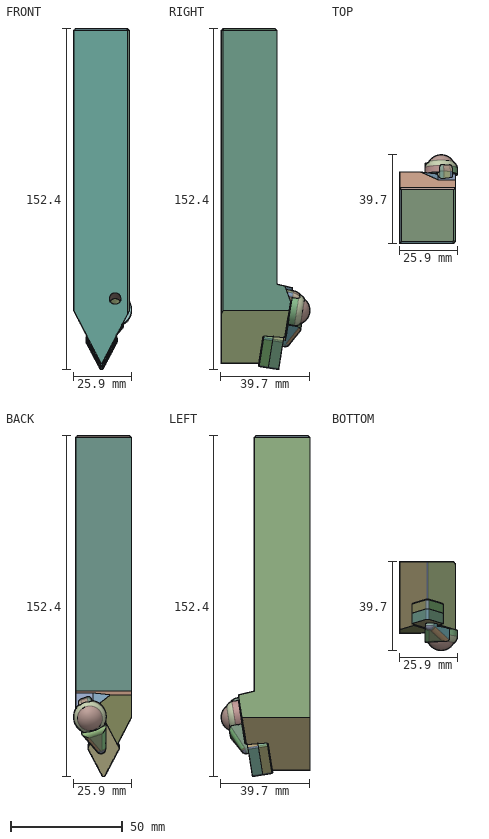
import cadquery as cq
import math

shank_side = 25.0
holder_height = 150.0
end_chamfer = 0.9
edge_chamfer = 0.9

point_angle = 55.0
tip_x = shank_side / 2
tip_round = 0.3
face_tilt = 9.0
head_depth = 32.0
head_corner_z = 34.1
head_step_z = 35.8

inscribed_diameter = 12.6
corner_radius = 0.84
insert_thickness = 4.7
shim_thickness = 4.5
shim_bevel = 0.5
insert_sink = 0.5
insert_center_z = 10.0

screw_x = 18.6
screw_z = 24.5
screw_radius = 3.8
screw_hole_diameter = 5.0
screw_hole_depth = 16.0
drill_point_angle = 118.0
dome_radius = 6.4
dome_center_height = 2.9

clamp_turn = 18.5
boss_radius = 7.3
heel_length = 8.4
heel_width = 6.1
heel_corner_radius = 1.5
heel_drop = 3.8
nose_reach = 15.5
nose_radius = 2.1
nose_top = 1.8
nose_pad_start = 13.7
arm_rise = 0.48
arm_root = 5.5
arm_edge_round = 2.0
boss_wall = 3.4
boss_top = 6.2
boss_top_radius = 5.2
shoulder_bulge = 0.3
heel_top = 5.2
heel_round = 4.5
clamp_gap = 0.5

recess_start_x = 8.0
recess_floor_x = 17.2
recess_floor_y = 28.2
recess_slope = 20.0
recess_length = 12.2
recess_clearance = 3.8

tilt = math.radians(face_tilt)
face_normal = cq.Vector(0, math.cos(tilt), -math.sin(tilt))


def head_face_y(z):
    """Y of the tilted head face at height Z."""
    return head_depth - (head_corner_z - z) * math.tan(tilt)


def face_plane(x, z):
    """Plane on the head face; local X is global X and local Y runs down to the tip."""
    return cq.Plane(origin=(x, head_face_y(z), z), xDir=(1, 0, 0), normal=face_normal)


insert_face = face_plane(tip_x, insert_center_z)
screw_face = face_plane(screw_x, screw_z)
clamp_face = screw_face.rotated((0, 0, 90 + clamp_turn))


def pointed_bar():
    """Square shank with the deeper head, both lower corners cut away to the point."""
    point_rise = tip_x / math.tan(math.radians(point_angle / 2))
    side = [
        (0, 0),
        (0, holder_height),
        (shank_side, holder_height),
        (shank_side, head_step_z),
        (head_depth, head_corner_z),
        (head_face_y(0), 0),
    ]
    bar = cq.Workplane("YZ").polyline(side).close().extrude(shank_side)
    bar = bar.edges("|Z and >X and <Y").chamfer(edge_chamfer)
    bar = bar.faces(">Z").edges().chamfer(end_chamfer)
    for edge_x in (0, shank_side):
        corner = [(edge_x, 0), (tip_x, 0), (edge_x, point_rise)]
        bar = bar.cut(cq.Workplane("XZ").polyline(corner).close().extrude(-head_depth))
    return bar.edges("|Y and <Z").fillet(tip_round)


def rhombic_plate(top, thickness):
    """Rhombus with rounded corners, from `top` down into the head."""
    half = math.radians(point_angle / 2)
    half_length = inscribed_diameter / 2 / math.sin(half)
    half_width = inscribed_diameter / 2 / math.cos(half)
    corners = [(0, half_length), (half_width, 0), (0, -half_length), (-half_width, 0)]
    plate = cq.Workplane(insert_face).workplane(offset=top).polyline(corners).close().extrude(-thickness)
    return plate.edges(cq.selectors.ParallelDirSelector(face_normal)).fillet(corner_radius)


def make_insert():
    return rhombic_plate(-insert_sink, insert_thickness)


def make_shim():
    shim = rhombic_plate(-insert_sink - insert_thickness, shim_thickness)
    lower_face = cq.selectors.DirectionMinMaxSelector(face_normal, False)
    return shim.faces(lower_face).edges().chamfer(shim_bevel)


def heel_recess():
    """Wedge whose floor runs from the top of the head out to the head face."""
    outline = [
        (recess_start_x, head_depth),
        (recess_floor_x, recess_floor_y),
        (shank_side, recess_floor_y),
        (shank_side, head_depth + recess_clearance),
        (recess_start_x, head_depth + recess_clearance),
    ]
    slope = math.radians(recess_slope)
    run_out = recess_length * math.sin(slope)
    drop = recess_length * math.cos(slope)
    start = cq.Workplane("XY", origin=(0, 0, head_step_z)).polyline(outline).close()
    path = cq.Workplane("YZ", origin=(0, 0, head_step_z)).lineTo(run_out, -drop)
    return start.sweep(path)


def side_plane(half_width):
    """Plane along the clamp: local X runs to the nose and local Y off the head face."""
    plane = cq.Plane(origin=clamp_face.origin, xDir=clamp_face.xDir, normal=-clamp_face.yDir)
    return cq.Workplane(plane).workplane(offset=-half_width)


def make_boss():
    """Round boss under the screw head, with a rounded shoulder."""
    bend_radius = (boss_radius + boss_top_radius) / 2 + shoulder_bulge
    bend_height = (boss_wall + boss_top) / 2 + shoulder_bulge
    profile = (
        side_plane(0)
        .moveTo(0, clamp_gap)
        .lineTo(boss_radius, clamp_gap)
        .lineTo(boss_radius, boss_wall)
        .threePointArc((bend_radius, bend_height), (boss_top_radius, boss_top))
        .lineTo(0, boss_top)
        .close()
    )
    return profile.revolve(360, (0, 0), (0, 1))


def make_heel():
    """Block behind the boss, rounded over at its back end and set into the recess."""
    bend = heel_round * (1 - math.sqrt(0.5))
    shoulder = heel_top - heel_round
    heel = (
        side_plane(heel_width / 2)
        .moveTo(-heel_length, -heel_drop)
        .lineTo(-heel_length, shoulder)
        .threePointArc((-heel_length + bend, heel_top - bend), (-heel_length + heel_round, heel_top))
        .lineTo(0, heel_top)
        .lineTo(0, clamp_gap)
        .lineTo(-heel_width / 2, clamp_gap)
        .lineTo(-heel_width / 2, -heel_drop)
        .close()
        .extrude(heel_width)
    )
    back = cq.selectors.DirectionMinMaxSelector(clamp_face.xDir, False)
    return heel.faces(back).edges(cq.selectors.ParallelDirSelector(face_normal)).fillet(heel_corner_radius)


def make_arm():
    """Bar tapering from the boss to a round nose, with a sloping top and a pad on the insert."""
    lean = (boss_radius - nose_radius) / nose_reach
    cosine = math.sqrt(1 - lean**2)
    root = (boss_radius * lean, boss_radius * cosine)
    bend = (nose_reach + nose_radius * lean, nose_radius * cosine)
    nose_end = nose_reach + nose_radius
    root_top = nose_top + arm_rise * (nose_end - arm_root)
    plan = (
        cq.Workplane(clamp_face)
        .workplane(offset=-insert_sink)
        .moveTo(*root)
        .lineTo(*bend)
        .threePointArc((nose_end, 0), (bend[0], -bend[1]))
        .lineTo(root[0], -root[1])
        .close()
        .extrude(root_top + insert_sink)
    )
    side = (
        side_plane(boss_radius)
        .moveTo(arm_root, clamp_gap)
        .lineTo(arm_root, root_top)
        .lineTo(nose_end, nose_top)
        .lineTo(nose_end, -insert_sink)
        .lineTo(nose_pad_start, -insert_sink)
        .lineTo(nose_pad_start, clamp_gap)
        .close()
        .extrude(2 * boss_radius)
    )
    arm = plan.intersect(side)
    top_normal = clamp_face.zDir + clamp_face.xDir * arm_rise
    return arm.faces(cq.selectors.DirectionMinMaxSelector(top_normal)).edges().fillet(arm_edge_round)


def make_screw():
    """Shaft through the boss, with a domed head."""
    shaft = cq.Workplane(screw_face).workplane(offset=-heel_drop)
    shaft = shaft.circle(screw_radius).extrude(heel_drop + dome_center_height)
    center = cq.Workplane(screw_face).workplane(offset=dome_center_height)
    upper_half = center.circle(dome_radius).extrude(dome_radius)
    return shaft.union(center.sphere(dome_radius).intersect(upper_half))


def make_clamp():
    return make_boss().union(make_heel()).union(make_arm()).union(make_screw())


def screw_hole():
    """Blind hole from the -Y face along the screw axis, with a drill point."""
    radius = screw_hole_diameter / 2
    axis_length = screw_face.origin.y / math.cos(tilt)
    point = radius / math.tan(math.radians(drill_point_angle / 2))
    bottom = axis_length - screw_hole_depth
    mouth = 2 * axis_length
    plane = cq.Plane(origin=screw_face.origin, xDir=(1, 0, 0), normal=screw_face.yDir)
    profile = [(0, bottom - point), (radius, bottom), (radius, mouth), (0, mouth)]
    return cq.Workplane(plane).polyline(profile).close().revolve(360, (0, 0), (0, 1))


def make_holder(insert):
    """Pointed bar with the shim and the clamp as parts of one solid."""
    pocket = rhombic_plate(0, insert_sink + insert_thickness)
    holder = pointed_bar().cut(heel_recess()).cut(pocket).union(make_shim()).union(make_clamp())
    return holder.cut(screw_hole()).cut(insert)


insert = make_insert()
holder = make_holder(insert)
result = cq.Compound.makeCompound([holder.val(), insert.val()])